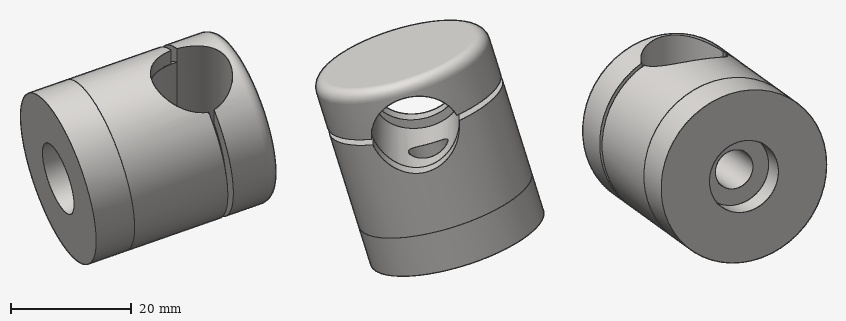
import cadquery as cq

OUTER_DIAMETER = 30.0
TOTAL_LENGTH = 33.5

BASE_LENGTH = 7.0
STEM_DIAMETER = 24.2
SCREW_HOLE_DIAMETER = 6.8
COUNTERBORE_DIAMETER = 12.5
COUNTERBORE_DEPTH = 4.0

GROOVE_START = 24.0
GROOVE_WIDTH = 1.0
CAP_EDGE_RADIUS = 2.0

RAIL_BORE_DIAMETER = 15.0
HOUSING_BORE_Y = 25.05
CORE_AND_CAP_BORE_Y = 23.5

HOUSING_LENGTH = GROOVE_START - BASE_LENGTH
CAP_START = GROOVE_START + GROOVE_WIDTH
CAP_LENGTH = TOTAL_LENGTH - CAP_START
STEM_LENGTH = CAP_START - BASE_LENGTH


def cylinder_along_y(diameter, start, length):
    """Solid cylinder on the main axis, from Y = start towards +Y."""
    return cq.Workplane("XZ", origin=(0, start, 0)).circle(diameter / 2).extrude(-length)


def rail_bore(centre_y):
    """Cutter for the cross bore, passing right through the part along Z."""
    return (
        cq.Workplane("XY")
        .center(0, centre_y)
        .circle(RAIL_BORE_DIAMETER / 2)
        .extrude(OUTER_DIAMETER, both=True)
    )


def make_core():
    """Base disc and stem, with a counterbored screw hole that opens into the rail bore."""
    disc = cylinder_along_y(OUTER_DIAMETER, 0, BASE_LENGTH)
    stem = cylinder_along_y(STEM_DIAMETER, BASE_LENGTH, STEM_LENGTH)
    screw_hole = cylinder_along_y(SCREW_HOLE_DIAMETER, 0, CORE_AND_CAP_BORE_Y)
    counterbore = cylinder_along_y(COUNTERBORE_DIAMETER, 0, COUNTERBORE_DEPTH)
    core = disc.union(stem).cut(screw_hole).cut(counterbore)
    return core.cut(rail_bore(CORE_AND_CAP_BORE_Y))


def make_housing():
    """Sleeve around the stem, crossed by its own rail bore."""
    sleeve = cylinder_along_y(OUTER_DIAMETER, BASE_LENGTH, HOUSING_LENGTH)
    stem_hole = cylinder_along_y(STEM_DIAMETER, BASE_LENGTH, HOUSING_LENGTH)
    return sleeve.cut(stem_hole).cut(rail_bore(HOUSING_BORE_Y))


def make_cap():
    """End disc resting on the stem, with a rounded outer edge and part of the rail bore."""
    cap = cylinder_along_y(OUTER_DIAMETER, CAP_START, CAP_LENGTH)
    cap = cap.faces(">Y").edges().fillet(CAP_EDGE_RADIUS)
    return cap.cut(rail_bore(CORE_AND_CAP_BORE_Y))


core = make_core()
housing = make_housing()
cap = make_cap()

result = cq.Compound.makeCompound([body.solids().val() for body in (core, housing, cap)])